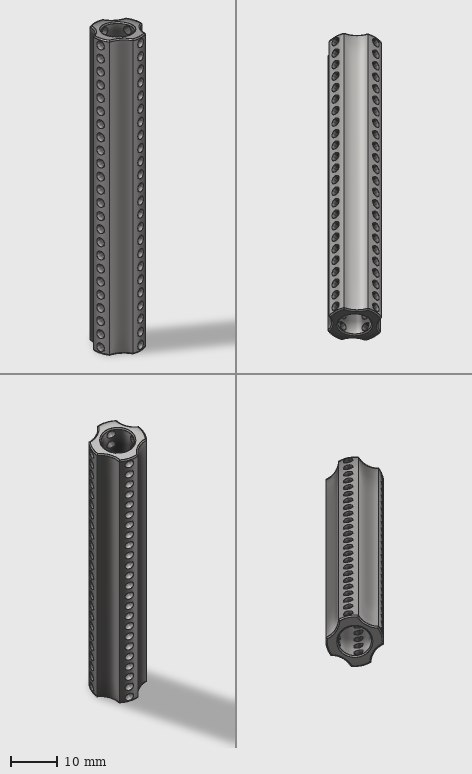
import cadquery as cq

length = 75.0
holes_per_row = 24
hole_pitch = length / holes_per_row
hole_diameter = 2.0

outer_diameter = 4 * hole_pitch
bore_diameter = 7.2
end_chamfer = 0.3

flute_count = 4
first_flute_angle = 45
flute_diameter = 0.8 * outer_diameter
flute_axis_distance = flute_diameter


def make_fluted_bar():
    """Round bar with flutes running its full length."""
    bar = cq.Workplane("XY").circle(outer_diameter / 2).extrude(length)
    flutes = (
        cq.Workplane("XY")
        .polarArray(flute_axis_distance, first_flute_angle, 360, flute_count)
        .circle(flute_diameter / 2)
        .extrude(length)
    )
    return bar.cut(flutes)


def make_tube():
    """Fluted bar with a through bore, chamfered on every edge of both ends."""
    bore = cq.Workplane("XY").circle(bore_diameter / 2).extrude(length)
    tube = make_fluted_bar().cut(bore)
    return tube.faces("<Z or >Z").edges().chamfer(end_chamfer)


def make_hole_row(plane):
    """Row of cross pins on the given plane, each reaching through two opposite lobes."""
    heights = [(i + 0.5) * hole_pitch for i in range(holes_per_row)]
    return (
        cq.Workplane(plane)
        .pushPoints([(0, height) for height in heights])
        .circle(hole_diameter / 2)
        .extrude(outer_diameter, both=True)
    )


result = make_tube()
for row_plane in ("XZ", "YZ"):
    result = result.cut(make_hole_row(row_plane))